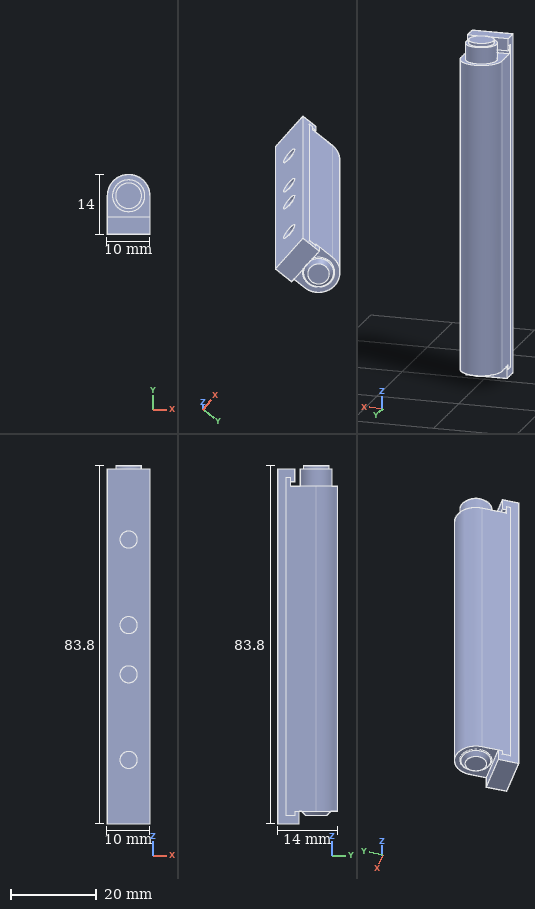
import cadquery as cq

width = 10.0
bracket_height = 83.0
plate_thickness = 2.0
end_wall = 2.0
hook_thickness = 1.0
hook_drop = 1.0
lower_hook_face = 5.0
upper_hook_face = 4.0

screw_hole_diameter = 4.0
screw_hole_depth = 1.0
screw_hole_heights = (15.0, 35.0, 46.5, 66.5)

barrel_radius = width / 2
overall_depth = 14.0
barrel_axis_y = overall_depth - barrel_radius
housing_bottom = end_wall + hook_drop
housing_top = 79.0
tongue_bottom = end_wall
tongue_top = bracket_height - end_wall
lower_tongue_front = lower_hook_face - hook_thickness
upper_tongue_front = upper_hook_face - hook_thickness

shaft_diameter = 7.5
shaft_top = bracket_height
step_diameter = 6.0
step_height = 0.8
tip_diameter = 5.0
tip_bottom = 2.0
tip_chamfer = (shaft_diameter - tip_diameter) / 2


def make_bracket():
    side_profile = [
        (0, 0),
        (lower_hook_face, 0),
        (lower_hook_face, end_wall + hook_drop),
        (lower_tongue_front, end_wall + hook_drop),
        (lower_tongue_front, end_wall),
        (plate_thickness, end_wall),
        (plate_thickness, tongue_top),
        (upper_tongue_front, tongue_top),
        (upper_tongue_front, tongue_top - hook_drop),
        (upper_hook_face, tongue_top - hook_drop),
        (upper_hook_face, bracket_height),
        (0, bracket_height),
    ]
    body = cq.Workplane("YZ").polyline(side_profile).close().extrude(width / 2, both=True)
    screw_holes = (
        cq.Workplane("XZ")
        .pushPoints([(0, height) for height in screw_hole_heights])
        .circle(screw_hole_diameter / 2)
        .extrude(-screw_hole_depth)
    )
    return body.cut(screw_holes)


def make_tongue(front, bottom, top):
    depth = front - plate_thickness
    return cq.Workplane("XY", origin=(0, plate_thickness, bottom)).box(
        width, depth, top - bottom, centered=(True, False, False)
    )


def make_pin():
    shaft = (
        cq.Workplane("XY", origin=(0, barrel_axis_y, tip_bottom))
        .circle(shaft_diameter / 2)
        .extrude(shaft_top - tip_bottom)
        .faces("<Z")
        .chamfer(tip_chamfer)
    )
    return shaft.faces(">Z").workplane().circle(step_diameter / 2).extrude(step_height)


def make_housing(pin):
    block = (
        cq.Workplane("XY", origin=(0, 0, housing_bottom))
        .moveTo(-width / 2, plate_thickness)
        .lineTo(width / 2, plate_thickness)
        .lineTo(width / 2, barrel_axis_y)
        .threePointArc((0, overall_depth), (-width / 2, barrel_axis_y))
        .close()
        .extrude(housing_top - housing_bottom)
    )
    lower_tongue = make_tongue(lower_tongue_front, tongue_bottom, housing_bottom)
    upper_tongue = make_tongue(upper_tongue_front, housing_top, tongue_top)
    return block.union(lower_tongue).union(upper_tongue).cut(pin)


bracket = make_bracket()
pin = make_pin()
housing = make_housing(pin)

result = cq.Compound.makeCompound([bracket.val(), housing.val(), pin.val()])